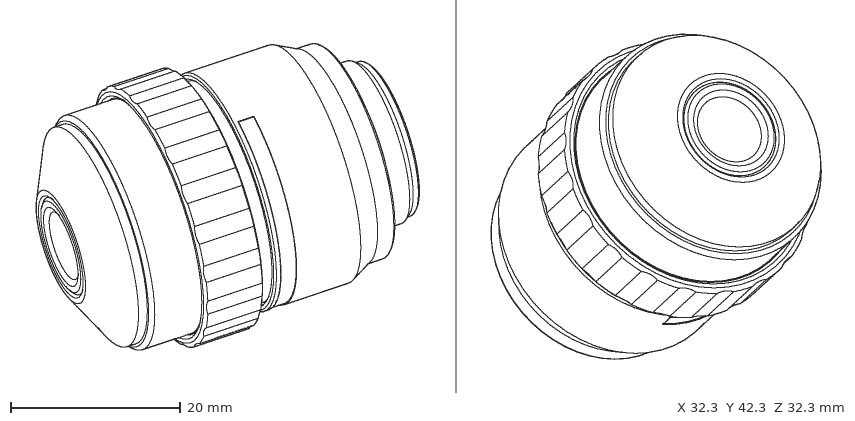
import cadquery as cq
import math


overall_length = 42.3
mount_shoulder_y = 37.4
housing_front_y = 21.0
ring_back_y = 19.08
ring_front_y = 11.4
barrel_front_y = 5.0
nose_rim_y = 3.85

mount_diameter = 19.3
mount_chamfer = 0.25
thread_diameter = 20.3
thread_front_y = 38.32
thread_back_y = 40.7
thread_lead_in = 0.68
shoulder_diameter = 26.8
shoulder_chamfer = 0.25
shoulder_front_y = 35.02
housing_diameter = 29.7
housing_taper_y = 32.2
housing_chamfer = 0.25
socket_diameter = 28.25
socket_depth = 0.42

band_front_y = 21.83
band_back_y = 23.85
band_depth = 0.13
band_half_angle = 79.6
band_cutter_overlap = 0.42

neck_diameter = 27.62
barrel_diameter = 29.2
barrel_chamfer = 0.55

ring_diameter = 32.4
ring_face_diameter = 31.2
ring_chamfer_length = 0.3
ring_mouth_diameter = 30.2
ring_clearance = 0.13
ring_mouth_depth = 0.42
flute_count = 20
flute_width = 2.25
flute_floor_radius = 16.0

nose_diameter = 27.35
tip_diameter = 14.1
nose_mouth_diameter = 12.7
cell_diameter = 12.1
cell_face_diameter = 11.38
cell_chamfer = 0.35
countersink_diameter = 9.8
lens_diameter = 8.4
lens_recess = 0.42


def turned(profile):
    """Solid of revolution about Y from an outline of (radius, station) points."""
    return cq.Workplane("XY").polyline(profile).close().revolve(360, (0, 0, 0), (0, 1, 0))


def disc(radius, front_y, back_y):
    """Cylinder about Y between two stations."""
    return turned([(0, front_y), (radius, front_y), (radius, back_y), (0, back_y)])


def make_housing():
    """Mounting thread, shoulder and housing wall, with a socket for the barrel neck."""
    mount_radius = mount_diameter / 2
    thread_radius = thread_diameter / 2
    shoulder_radius = shoulder_diameter / 2
    housing_radius = housing_diameter / 2
    socket_radius = socket_diameter / 2
    socket_floor_y = housing_front_y + socket_depth
    body = turned([
        (0, socket_floor_y),
        (socket_radius, socket_floor_y),
        (socket_radius, housing_front_y),
        (housing_radius - housing_chamfer, housing_front_y),
        (housing_radius, housing_front_y + housing_chamfer),
        (housing_radius, housing_taper_y),
        (shoulder_radius, shoulder_front_y),
        (shoulder_radius, mount_shoulder_y - shoulder_chamfer),
        (shoulder_radius - shoulder_chamfer, mount_shoulder_y),
        (mount_radius, mount_shoulder_y),
        (mount_radius, thread_front_y),
        (thread_radius, thread_front_y),
        (thread_radius, thread_back_y),
        (mount_radius, thread_back_y + thread_lead_in),
        (mount_radius, overall_length - mount_chamfer),
        (mount_radius - mount_chamfer, overall_length),
        (0, overall_length),
    ])
    return body.cut(make_band_cutter())


def make_band_cutter():
    """Curved strip that sinks the colour band into the housing wall."""
    housing_radius = housing_diameter / 2
    floor_radius = housing_radius - band_depth
    cutter_radius = housing_radius + band_cutter_overlap
    return (
        cq.Workplane("XY")
        .moveTo(floor_radius, band_front_y)
        .lineTo(cutter_radius, band_front_y)
        .lineTo(cutter_radius, band_back_y)
        .lineTo(floor_radius, band_back_y)
        .close()
        .revolve(2 * band_half_angle, (0, 0, 0), (0, 1, 0))
        .rotate((0, 0, 0), (0, 1, 0), -band_half_angle)
    )


def make_barrel():
    """Front barrel with the neck that carries the grip ring and enters the housing."""
    neck_radius = neck_diameter / 2
    barrel_radius = barrel_diameter / 2
    shoulder_y = ring_front_y + ring_mouth_depth
    neck_end_y = housing_front_y + socket_depth
    return turned([
        (0, barrel_front_y),
        (barrel_radius - barrel_chamfer, barrel_front_y),
        (barrel_radius, barrel_front_y + barrel_chamfer),
        (barrel_radius, shoulder_y),
        (neck_radius, shoulder_y),
        (neck_radius, neck_end_y),
        (0, neck_end_y),
    ])


def make_grip_ring():
    """Fluted ring around the neck, seated against the barrel shoulder."""
    ring_radius = ring_diameter / 2
    bore_radius = neck_diameter / 2
    face_radius = ring_face_diameter / 2
    mouth_floor_y = ring_front_y + ring_mouth_depth
    ring = turned([
        (bore_radius, mouth_floor_y),
        (barrel_diameter / 2 + ring_clearance, mouth_floor_y),
        (ring_mouth_diameter / 2, ring_front_y),
        (face_radius, ring_front_y),
        (ring_radius, ring_front_y + ring_chamfer_length),
        (ring_radius, ring_back_y - ring_chamfer_length),
        (face_radius, ring_back_y),
        (bore_radius, ring_back_y),
    ])
    half_width = flute_width / 2
    edge_height = math.sqrt(ring_radius**2 - half_width**2) - flute_floor_radius
    flute_radius = (half_width**2 + edge_height**2) / (2 * edge_height)
    flute = disc(flute_radius, ring_front_y, ring_back_y)
    flute = flute.translate((flute_floor_radius + flute_radius, 0, 0))
    for index in range(flute_count):
        ring = ring.cut(flute.rotate((0, 0, 0), (0, 1, 0), index * 360 / flute_count))
    return ring


def make_nose():
    """Conical nose with a chamfered bore for the lens cell."""
    cell_radius = cell_diameter / 2
    mouth_radius = nose_mouth_diameter / 2
    return turned([
        (cell_radius, barrel_front_y),
        (cell_radius, mouth_radius - cell_radius),
        (mouth_radius, 0),
        (tip_diameter / 2, 0),
        (nose_diameter / 2, nose_rim_y),
        (nose_diameter / 2, barrel_front_y),
    ])


def make_lens_cell():
    """Chamfered sleeve with a countersunk front that holds the lens."""
    cell_radius = cell_diameter / 2
    lens_radius = lens_diameter / 2
    return turned([
        (lens_radius, barrel_front_y),
        (lens_radius, lens_recess),
        (countersink_diameter / 2, 0),
        (cell_face_diameter / 2, 0),
        (cell_radius, cell_chamfer),
        (cell_radius, barrel_front_y),
    ])


def make_front_lens():
    """Flat lens set just behind the face of its cell."""
    return disc(lens_diameter / 2, lens_recess, barrel_front_y)


housing = make_housing()
barrel = make_barrel()
grip_ring = make_grip_ring()
nose = make_nose()
lens_cell = make_lens_cell()
front_lens = make_front_lens()

result = cq.Compound.makeCompound([
    housing.val(),
    barrel.val(),
    grip_ring.val(),
    nose.val(),
    lens_cell.val(),
    front_lens.val(),
])